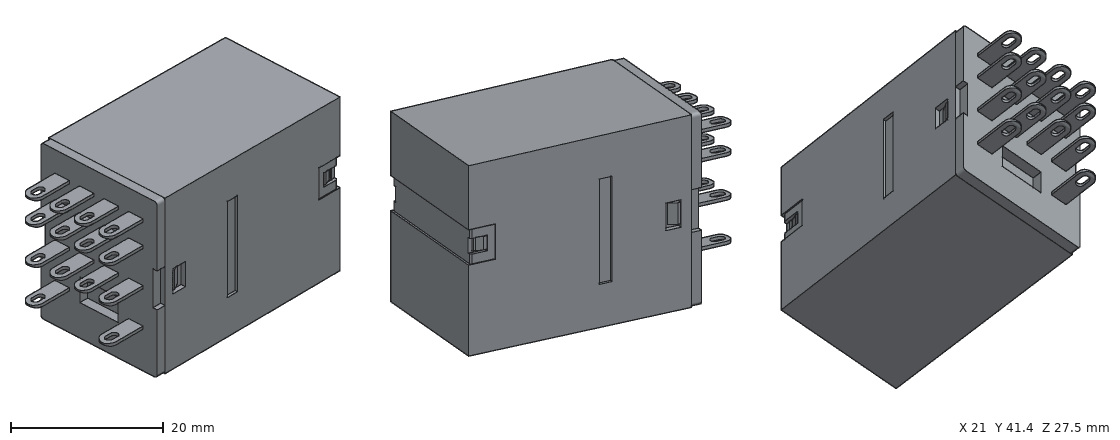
import cadquery as cq


WIDTH = 21.0
HEIGHT = 27.5
LENGTH = 41.4
TERMINAL_LENGTH = 6.4
FLANGE_THICKNESS = 1.5
COVER_LENGTH = LENGTH - TERMINAL_LENGTH - FLANGE_THICKNESS
BASE_FACE_Y = TERMINAL_LENGTH - LENGTH

REAR_INSET = 0.157
WALL = 0.8
REAR_WALL = 0.85
CAVITY_WIDTH = WIDTH - 2 * WALL
CAVITY_HEIGHT = HEIGHT - 2 * WALL
REAR_HALF_WIDTH = WIDTH / 2 - REAR_INSET

GROOVE_START = 19.62
GROOVE_WIDTH = 1.9
GROOVE_HEIGHT = 15.03
GROOVE_DEPTH = 0.5

BASE_WINDOW_START = 29.6
BASE_WINDOW_END = 31.9
BASE_WINDOW_HEIGHT = 3.95

GRIP_CENTER_Z = 1.9
GRIP_HEIGHT = 5.0
GRIP_END = 4.05
GRIP_DEPTH = 0.15
GRIP_REAR_DEPTH = 0.35
GRIP_BEVEL_LENGTH = 0.3
GRIP_BEVEL_DEPTH = 0.145

LATCH_WINDOW_END = 2.9
LATCH_WINDOW_HEIGHT = 2.25
LATCH_SLOT_DEPTH = 0.7

FLANGE_RADIUS = 0.55
PLUG_END = 28.55

SIDE_NOTCH_HEIGHT = 6.1
SIDE_NOTCH_DEPTH = WALL

RECESS_WIDTH = 6.9
RECESS_HEIGHT = 3.95
RECESS_DEPTH = 1.5
RECESS_CENTER_Z = -6.2

BASE_HOOK_START = 30.3
BASE_HOOK_CREST = 31.5
BASE_HOOK_HEIGHT = 3.1
BASE_HOOK_RISE = 0.62

TERMINAL_WIDTH = 2.6
TERMINAL_THICKNESS = 0.5
TERMINAL_PITCH = 4.45
TERMINAL_COLUMNS = [step * TERMINAL_PITCH for step in (-1.5, -0.5, 0.5, 1.5)]
FULL_ROWS = [9.8, 5.67, -0.62]
COIL_ROW = -6.95
EYE_WIDTH = 1.2
EYE_LENGTH = 2.15
EYE_CENTER = 1.82
TIP_BEVEL_LENGTH = 0.45
TIP_BEVEL_DEPTH = 0.12

LATCH_HEIGHT = 1.95
LATCH_NOSE_END = 1.1
LATCH_RAMP_START = 1.4
LATCH_RAMP_END = 2.4
LATCH_NOSE_DEPTH = 1.0
LATCH_RAMP_DEPTH = 0.7
LATCH_CREST_DEPTH = 0.3


def block(x_size, z_size, start, end, x_center=0.0, z_center=0.0):
    """Box between two distances measured forward from the cover's rear face."""
    return cq.Workplane("XY").box(x_size, end - start, z_size).translate(
        (x_center, -(start + end) / 2, z_center)
    )


def plate(points, height, z_center=0.0):
    """Outline in X and Y, extruded equally up and down about z_center."""
    return (
        cq.Workplane("XY", origin=(0, 0, z_center))
        .polyline(points)
        .close()
        .extrude(height / 2, both=True)
    )


def both_sides(left_half):
    """The given shape together with its mirror image across the YZ plane."""
    return left_half.union(left_half.mirror("YZ"))


def side_cut(depth, z_size, start, end, z_center=0.0, surface=WIDTH / 2):
    """A pair of boxes reaching the given depth below the two side surfaces."""
    reach = 0.4
    center = -surface + (depth - reach) / 2
    return both_sides(block(depth + reach, z_size, start, end, center, z_center))


def make_grip():
    """Cut for the finger grip: rear channel, side pockets and beveled rear edges."""
    channel = block(WIDTH, GRIP_HEIGHT, 0, GRIP_REAR_DEPTH, z_center=GRIP_CENTER_Z)
    pockets = side_cut(GRIP_DEPTH, GRIP_HEIGHT, 0, GRIP_END, GRIP_CENTER_Z, REAR_HALF_WIDTH)
    pocket_x = -REAR_HALF_WIDTH + GRIP_DEPTH
    bevel = plate(
        [
            (pocket_x, -GRIP_REAR_DEPTH),
            (pocket_x + GRIP_BEVEL_DEPTH, -GRIP_REAR_DEPTH),
            (pocket_x, -GRIP_REAR_DEPTH - GRIP_BEVEL_LENGTH),
        ],
        GRIP_HEIGHT,
        GRIP_CENTER_Z,
    )
    return channel.union(pockets).union(both_sides(bevel))


def make_cover():
    shell = (
        cq.Workplane("XZ")
        .rect(WIDTH - 2 * REAR_INSET, HEIGHT - 2 * REAR_INSET)
        .workplane(offset=COVER_LENGTH)
        .rect(WIDTH, HEIGHT)
        .loft(ruled=True)
    )
    cavity = block(CAVITY_WIDTH, CAVITY_HEIGHT, REAR_WALL, COVER_LENGTH)
    grooves = side_cut(GROOVE_DEPTH, GROOVE_HEIGHT, GROOVE_START, GROOVE_START + GROOVE_WIDTH)
    base_windows = block(WIDTH, BASE_WINDOW_HEIGHT, BASE_WINDOW_START, BASE_WINDOW_END)
    latch_windows = block(
        WIDTH, LATCH_WINDOW_HEIGHT, REAR_WALL, LATCH_WINDOW_END, z_center=GRIP_CENTER_Z
    )
    latch_slots = side_cut(
        LATCH_SLOT_DEPTH, LATCH_WINDOW_HEIGHT, 0, REAR_WALL, GRIP_CENTER_Z, REAR_HALF_WIDTH
    )
    cover = shell.cut(cavity).cut(grooves).cut(base_windows)
    return cover.cut(make_grip()).cut(latch_windows).cut(latch_slots)


def make_terminal():
    """One solder terminal, centered on X and Z, with its root on the base face."""
    radius = TERMINAL_WIDTH / 2
    half_thickness = TERMINAL_THICKNESS / 2
    shoulder_y = radius - LENGTH
    blade = (
        cq.Workplane("XY")
        .moveTo(-radius, BASE_FACE_Y)
        .lineTo(-radius, shoulder_y)
        .threePointArc((0, -LENGTH), (radius, shoulder_y))
        .lineTo(radius, BASE_FACE_Y)
        .close()
        .extrude(half_thickness, both=True)
    )
    eye = (
        cq.Workplane("XY")
        .center(0, EYE_CENTER - LENGTH)
        .slot2D(EYE_LENGTH, EYE_WIDTH, 90)
        .extrude(half_thickness, both=True)
    )
    bevel = (
        cq.Workplane("YZ")
        .moveTo(-LENGTH, half_thickness)
        .lineTo(TIP_BEVEL_LENGTH - LENGTH, half_thickness)
        .lineTo(-LENGTH, half_thickness - TIP_BEVEL_DEPTH)
        .close()
        .extrude(radius, both=True)
    )
    return blade.cut(eye).cut(bevel).cut(bevel.mirror("XY"))


def make_base_hook():
    """Left snap hook: a ramp rising to a crest against the front of its window."""
    root_x = -CAVITY_WIDTH / 2
    crest_x = root_x - BASE_HOOK_RISE
    return plate(
        [
            (root_x, -BASE_HOOK_START),
            (crest_x, -BASE_HOOK_CREST),
            (crest_x, -BASE_WINDOW_END),
            (root_x, -BASE_WINDOW_END),
        ],
        BASE_HOOK_HEIGHT,
    )


def make_base():
    flange_front = COVER_LENGTH + FLANGE_THICKNESS
    flange = block(WIDTH, HEIGHT, COVER_LENGTH, flange_front).edges("|Y").fillet(FLANGE_RADIUS)
    plug = block(CAVITY_WIDTH, CAVITY_HEIGHT, PLUG_END, COVER_LENGTH)
    recess = block(
        RECESS_WIDTH, RECESS_HEIGHT, flange_front - RECESS_DEPTH, flange_front, z_center=RECESS_CENTER_Z
    )
    notches = side_cut(SIDE_NOTCH_DEPTH, SIDE_NOTCH_HEIGHT, COVER_LENGTH, flange_front)
    base = flange.cut(notches).union(plug).cut(recess).union(both_sides(make_base_hook()))

    places = [(x, z) for z in FULL_ROWS for x in TERMINAL_COLUMNS]
    places += [(TERMINAL_COLUMNS[0], COIL_ROW), (TERMINAL_COLUMNS[-1], COIL_ROW)]
    terminal = make_terminal()
    for x, z in places:
        base = base.union(terminal.translate((x, 0, z)))
    return base


def make_latch_bar():
    """Bar across the cavity whose ends are ramped hooks filling the latch windows."""
    nose_x = -REAR_HALF_WIDTH + LATCH_NOSE_DEPTH
    ramp_x = -REAR_HALF_WIDTH + LATCH_RAMP_DEPTH
    crest_x = -REAR_HALF_WIDTH + LATCH_CREST_DEPTH
    left_half = plate(
        [
            (0, -REAR_WALL),
            (nose_x, -REAR_WALL),
            (ramp_x, -LATCH_NOSE_END),
            (ramp_x, -LATCH_RAMP_START),
            (crest_x, -LATCH_RAMP_END),
            (crest_x, -LATCH_WINDOW_END),
            (0, -LATCH_WINDOW_END),
        ],
        LATCH_HEIGHT,
        GRIP_CENTER_Z,
    )
    return both_sides(left_half)


cover = make_cover().solids()
base = make_base().solids()
latch_bar = make_latch_bar().solids()

result = cq.Compound.makeCompound([cover.val(), base.val(), latch_bar.val()])